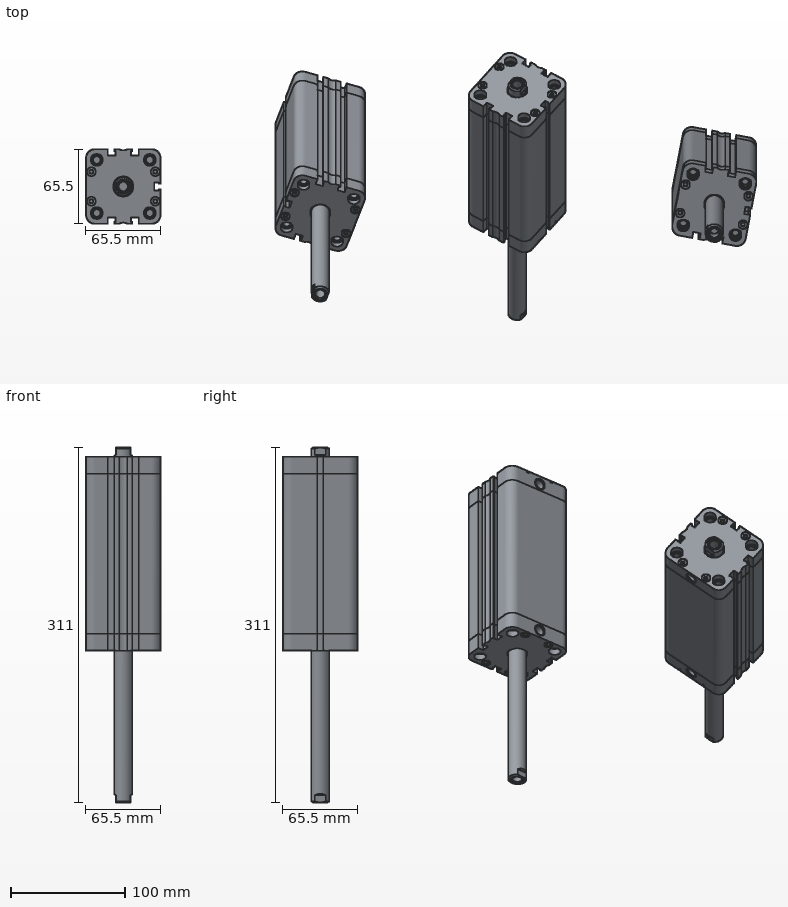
import cadquery as cq


BODY_WIDTH = 65.5
HALF_WIDTH = BODY_WIDTH / 2
CORNER_RADIUS = 8.0
BODY_LENGTH = 170.0
CAP_LENGTH = 15.0
BARREL_LENGTH = BODY_LENGTH - 2 * CAP_LENGTH

SLOT_DEPTH = 5.4
LIP_THICKNESS = 1.8
SLOT_OUTER_X = 13.4
SLOT_LIP_X = 8.0
SLOT_INNER_X = 6.9
SIDE_SLOT_WIDTH = 6.6
SIDE_SLOT_OPENING = 5.2
GROOVE_WIDTH = 6.8
GROOVE_DEPTH = 1.0
GROOVE_RADIUS = ((GROOVE_WIDTH / 2) ** 2 + GROOVE_DEPTH ** 2) / (2 * GROOVE_DEPTH)
CUT_MARGIN = 1.0

MOUNT_PITCH = 46.5
MOUNT_RECESS_DIAMETER = 10.5
MOUNT_RECESS_DEPTH = 6.0
MOUNT_SINK_DIAMETER = 8.38
MOUNT_THREAD_DIAMETER = 6.65

SCREW_X = 28.0
SCREW_Y = 12.9
SCREW_RECESS_DIAMETER = 7.7
SCREW_RECESS_DEPTH = 1.0
SCREW_SOCKET_DIAMETER = 3.5
SCREW_SOCKET_DEPTH = 3.0

PORT_HEIGHT = 8.0
PORT_RECESS_DIAMETER = 10.5
PORT_RECESS_DEPTH = 1.0
PORT_DIAMETER = 8.57
PORT_DEPTH = 9.0
AIRWAY_DIAMETER = 3.5
AIRWAY_DEPTH = 14.0
AIRWAY_OFFSET = 2.0

ROD_DIAMETER = 16.0
ROD_RADIUS = ROD_DIAMETER / 2
ROD_TOP_REACH = 8.0
ROD_LENGTH = 311.0
ROD_CHAMFER_HEIGHT = 1.0
ROD_CHAMFER_DEPTH = 1.8
ROD_SEAT_DIAMETER = 17.7
ROD_SEAT_DEPTH = 2.0
FLAT_SPACING = 13.0
FLAT_LENGTH = 6.2
ROD_THREAD_DIAMETER = 8.38
ROD_THREAD_DEPTH = 20.0
ROD_SINK_DIAMETER = 10.5


def paired_slots(length):
    """The two slots of the -Y side, each with a lip over its inner wall."""
    floor_y = -HALF_WIDTH + SLOT_DEPTH
    lip_y = -HALF_WIDTH + LIP_THICKNESS
    open_y = -HALF_WIDTH - CUT_MARGIN
    slot = cq.Workplane("XY").polyline([
        (SLOT_OUTER_X, open_y),
        (SLOT_OUTER_X, floor_y),
        (SLOT_INNER_X, floor_y),
        (SLOT_INNER_X, lip_y),
        (SLOT_LIP_X, lip_y),
        (SLOT_LIP_X, open_y),
    ]).close().extrude(length)
    return slot.union(slot.mirror("YZ"))


def centre_groove(length):
    """Shallow round groove along the middle of the -Y side."""
    groove_y = -HALF_WIDTH + GROOVE_DEPTH - GROOVE_RADIUS
    return cq.Workplane("XY").center(0, groove_y).circle(GROOVE_RADIUS).extrude(length)


def side_slot(length):
    """T-shaped slot along the middle of the +X side."""
    opening = cq.Workplane("XY").center(HALF_WIDTH, 0).rect(2 * SLOT_DEPTH, SIDE_SLOT_OPENING)
    undercut_depth = SLOT_DEPTH - LIP_THICKNESS
    undercut_x = HALF_WIDTH - LIP_THICKNESS - undercut_depth / 2
    undercut = cq.Workplane("XY").center(undercut_x, 0).rect(undercut_depth, SIDE_SLOT_WIDTH)
    return opening.extrude(length).union(undercut.extrude(length))


def make_body_section(length):
    """Slotted square section of the body, bored for the rod."""
    section = cq.Workplane("XY").rect(BODY_WIDTH, BODY_WIDTH).extrude(length)
    section = section.edges("|Z").fillet(CORNER_RADIUS)
    for cutter in (paired_slots(length), centre_groove(length)):
        section = section.cut(cutter).cut(cutter.mirror("XZ"))
    section = section.cut(side_slot(length))
    return section.cut(cq.Workplane("XY").circle(ROD_RADIUS).extrude(length))


def mount_hole():
    """Recess, 45-degree countersink and thread hole, open at the top of a cap."""
    recess_floor = CAP_LENGTH - MOUNT_RECESS_DEPTH
    sink_depth = (MOUNT_SINK_DIAMETER - MOUNT_THREAD_DIAMETER) / 2
    return cq.Workplane("XZ").polyline([
        (0, 0),
        (MOUNT_THREAD_DIAMETER / 2, 0),
        (MOUNT_THREAD_DIAMETER / 2, recess_floor - sink_depth),
        (MOUNT_SINK_DIAMETER / 2, recess_floor),
        (MOUNT_RECESS_DIAMETER / 2, recess_floor),
        (MOUNT_RECESS_DIAMETER / 2, CAP_LENGTH),
        (0, CAP_LENGTH),
    ]).close().revolve(360, (0, 0), (0, 1))


def air_port():
    """Spotface, port and the smaller airway at its bottom."""
    side = cq.Workplane("YZ", origin=(-HALF_WIDTH, 0, CAP_LENGTH - PORT_HEIGHT))
    port = side.circle(PORT_RECESS_DIAMETER / 2).extrude(PORT_RECESS_DEPTH)
    port = port.union(side.circle(PORT_DIAMETER / 2).extrude(PORT_DEPTH))
    airway = side.center(0, -AIRWAY_OFFSET).circle(AIRWAY_DIAMETER / 2).extrude(AIRWAY_DEPTH)
    return port.union(airway)


def make_cap():
    """End cap with its barrel side on Z = 0 and its end face up."""
    cap = make_body_section(CAP_LENGTH)
    for x in (-MOUNT_PITCH / 2, MOUNT_PITCH / 2):
        for y in (-MOUNT_PITCH / 2, MOUNT_PITCH / 2):
            cap = cap.cut(mount_hole().translate((x, y, 0)))

    end_face = cq.Workplane("XY", origin=(0, 0, CAP_LENGTH))
    screws = end_face.rect(2 * SCREW_X, 2 * SCREW_Y, forConstruction=True).vertices()
    cap = cap.cut(screws.circle(SCREW_RECESS_DIAMETER / 2).extrude(-SCREW_RECESS_DEPTH))
    cap = cap.cut(screws.circle(SCREW_SOCKET_DIAMETER / 2).extrude(-SCREW_SOCKET_DEPTH))

    cap = cap.cut(end_face.circle(ROD_SEAT_DIAMETER / 2).extrude(-ROD_SEAT_DEPTH))
    return cap.cut(air_port())


def wrench_flat():
    """Cutter for the +X flat at the lower rod end, with a 45-degree run-out."""
    flat_x = FLAT_SPACING / 2
    run_out = ROD_RADIUS - flat_x
    return cq.Workplane("XZ").polyline([
        (flat_x, 0),
        (flat_x, FLAT_LENGTH),
        (ROD_RADIUS, FLAT_LENGTH + run_out),
        (ROD_RADIUS, 0),
    ]).close().extrude(ROD_RADIUS, both=True)


def rod_thread_hole():
    """Countersunk blind hole in the lower rod end."""
    sink_depth = (ROD_SINK_DIAMETER - ROD_THREAD_DIAMETER) / 2
    return cq.Workplane("XZ").polyline([
        (0, 0),
        (ROD_SINK_DIAMETER / 2, 0),
        (ROD_THREAD_DIAMETER / 2, sink_depth),
        (ROD_THREAD_DIAMETER / 2, ROD_THREAD_DEPTH),
        (0, ROD_THREAD_DEPTH),
    ]).close().revolve(360, (0, 0), (0, 1))


def make_rod():
    """Through rod with the same chamfer, flats and thread hole at both ends."""
    end_radius = ROD_RADIUS - ROD_CHAMFER_DEPTH
    rod = cq.Workplane("XZ").polyline([
        (0, 0),
        (end_radius, 0),
        (ROD_RADIUS, ROD_CHAMFER_HEIGHT),
        (ROD_RADIUS, ROD_LENGTH - ROD_CHAMFER_HEIGHT),
        (end_radius, ROD_LENGTH),
        (0, ROD_LENGTH),
    ]).close().revolve(360, (0, 0), (0, 1))

    rod_middle = (0, 0, ROD_LENGTH / 2)
    flat = wrench_flat()
    for cutter in (flat, flat.mirror("YZ"), rod_thread_hole()):
        rod = rod.cut(cutter).cut(cutter.mirror("XY", rod_middle))
    return rod


barrel = make_body_section(BARREL_LENGTH).translate((0, 0, CAP_LENGTH))
upper_cap = make_cap().translate((0, 0, BODY_LENGTH - CAP_LENGTH))
lower_cap = make_cap().mirror("XY").translate((0, 0, CAP_LENGTH))
rod = make_rod().translate((0, 0, BODY_LENGTH + ROD_TOP_REACH - ROD_LENGTH))

result = cq.Compound.makeCompound([
    barrel.val(),
    upper_cap.val(),
    lower_cap.val(),
    rod.val(),
])